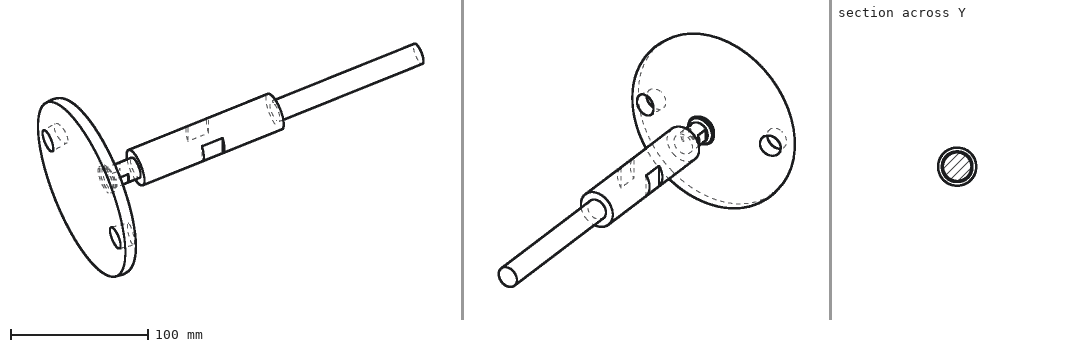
import cadquery as cq
import math


plate_radius = 69.0
rim_crest_height = 4.6
floor_edge_relief = 0.6
upper_edge_relief = 0.6
rim_height = 9.5
rim_rounding = 3.5
cone_angle = 9.5

neck_radius = 10.5
neck_top = 20.7

fixing_hole_diameter = 16.5
fixing_hole_offset = 52.6

lip_radius = 11.3
collar_radius = 10.5
collar_shoulder = 22.3
collar_top = 24.0

rod_radius = 16.0 / 2
overall_length = 278.0
sleeve_radius = 28.0 / 2
sleeve_start = 44.5
sleeve_length = 115.0

sleeve_flats_width = 22.0
sleeve_flats_length = 17.0
sleeve_flats_middle = sleeve_start + sleeve_length / 2
rod_flats_width = 13.0
rod_flats_length = 10.0
rod_flats_middle = 30.0


def fixing_hole(side):
    """Tilted cutter for one fixing hole; side is -1 or +1 along X."""
    tilt = math.radians(cone_angle)
    direction = cq.Vector(side * math.sin(tilt), math.cos(tilt), 0)
    floor_point = cq.Vector(side * fixing_hole_offset, 0, 0)
    start = floor_point - direction * plate_radius
    return cq.Workplane(
        cq.Solid.makeCylinder(fixing_hole_diameter / 2, 2 * plate_radius, start, direction)
    )


def make_foot_plate():
    """Shallow cone with a rounded rim, a short neck and two fixing holes."""
    rim_top_radius = plate_radius - upper_edge_relief
    cone_rise = (rim_top_radius - neck_radius) * math.tan(math.radians(cone_angle))
    plate = (
        cq.Workplane("XY")
        .lineTo(plate_radius - floor_edge_relief, 0)
        .lineTo(plate_radius, rim_crest_height)
        .lineTo(rim_top_radius, rim_height)
        .lineTo(neck_radius, rim_height + cone_rise)
        .lineTo(neck_radius, neck_top)
        .lineTo(0, neck_top)
        .close()
        .revolve(360, (0, 0, 0), (0, 1, 0))
    )
    rim_edge = cq.selectors.BoxSelector(
        (-plate_radius - 1, rim_height - 1, -plate_radius - 1),
        (plate_radius + 1, rim_height + 1, plate_radius + 1),
        boundingbox=True,
    )
    plate = plate.edges(rim_edge).fillet(rim_rounding)
    for side in (-1, 1):
        plate = plate.cut(fixing_hole(side))
    return plate


def cut_wrench_flats(shaft, radius, width, length, middle):
    """Cut two parallel flats, facing -X and +X, into a round length of the shaft."""
    depth = radius - width / 2
    for side in (-1, 1):
        cutter = (
            cq.Workplane("XY")
            .box(depth, length, 2 * radius)
            .translate((side * (width + depth) / 2, middle, 0))
        )
        shaft = shaft.cut(cutter)
    return shaft


def make_spindle():
    """Collar, rod and thicker sleeve turned as one piece, with wrench flats."""
    sleeve_end = sleeve_start + sleeve_length
    spindle = (
        cq.Workplane("XY")
        .moveTo(0, neck_top)
        .lineTo(lip_radius, neck_top)
        .lineTo(collar_radius, collar_shoulder)
        .lineTo(rod_radius, collar_top)
        .lineTo(rod_radius, sleeve_start)
        .lineTo(sleeve_radius, sleeve_start)
        .lineTo(sleeve_radius, sleeve_end)
        .lineTo(rod_radius, sleeve_end)
        .lineTo(rod_radius, overall_length)
        .lineTo(0, overall_length)
        .close()
        .revolve(360, (0, 0, 0), (0, 1, 0))
    )
    spindle = cut_wrench_flats(
        spindle, sleeve_radius, sleeve_flats_width, sleeve_flats_length, sleeve_flats_middle
    )
    spindle = cut_wrench_flats(
        spindle, rod_radius, rod_flats_width, rod_flats_length, rod_flats_middle
    )
    return spindle


foot_plate = make_foot_plate()
spindle = make_spindle()

result = cq.Compound.makeCompound([foot_plate.val(), spindle.val()])